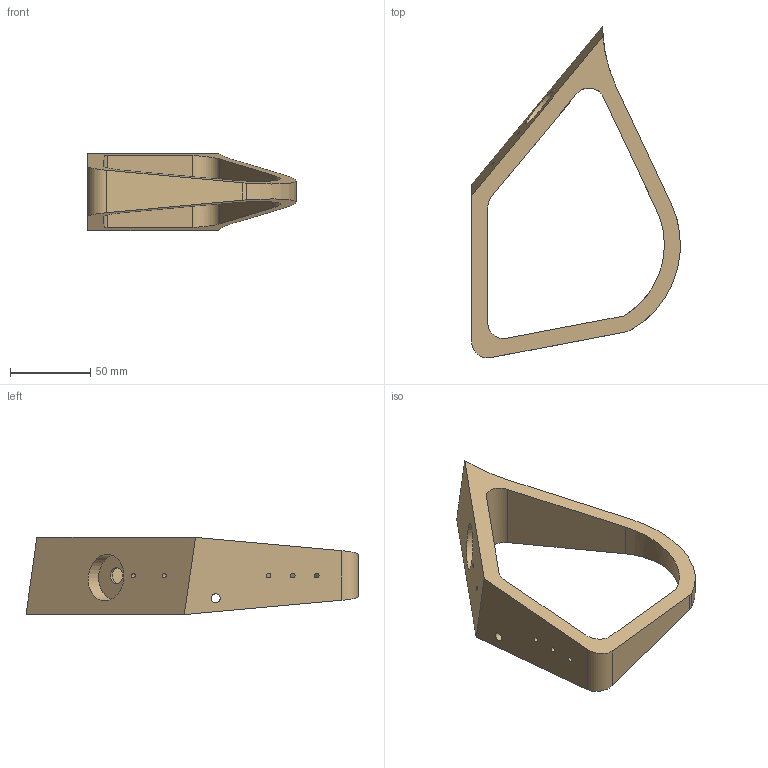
import cadquery as cq
import math

LENGTH_X = 130.05
LENGTH_Y = 206.93
HEIGHT = 48.05
WALL = 10.0

TIP_X = 81.5
MOUNT_START_Y = 108.3
ROUND_RADIUS = 61.0
ROUND_CENTER_Y = 70.4
SIDE_ANGLE = 25.2
BASE_ANGLE = 10.8
CORNER_RADIUS = 10.0
BASE_BLEND_RADIUS = 8.0

MOUNT_TILT = 5.35
TAPER_ANGLE = 8.1

POCKET_DIAMETER = 28.9
POCKET_DEPTH = 10.3
POCKET_X = 41.4
POCKET_Z = 23.0
BOLT_DIAMETER = 10.0
SCREW_DIAMETER = 3.0
HOLE_Z = 24.3
MOUNT_SCREW_DISTANCES = (22.0, 47.0)

LEFT_SCREW_YS = (25.75, 40.75, 55.75)
LOW_HOLE_DIAMETER = 5.5
LOW_HOLE_Y = 88.7
LOW_HOLE_Z = 10.1

THROUGH_DEPTH = 2 * WALL
OVERSHOOT = 5.0
SELECTION_REACH = 0.5

ROUND_CENTER = cq.Vector(LENGTH_X - ROUND_RADIUS, ROUND_CENTER_Y)
TIP = cq.Vector(TIP_X, LENGTH_Y)
MOUNT_START = cq.Vector(0, MOUNT_START_Y)
UP = cq.Vector(0, 0, 1)

ALONG_MOUNT = (TIP - MOUNT_START).normalized()
MOUNT_OUTWARD = UP.cross(ALONG_MOUNT)
MOUNT_SETBACK = HEIGHT * math.tan(math.radians(MOUNT_TILT))


def direction(angle):
    """Horizontal unit vector at an angle in degrees from +X."""
    return cq.Vector(math.cos(math.radians(angle)), math.sin(math.radians(angle)))


def crossing(point_a, along_a, point_b, along_b):
    """Point where two horizontal lines meet."""
    gap = point_b - point_a
    return point_a + along_a * (gap.cross(along_b).z / along_a.cross(along_b).z)


ALONG_SIDE = direction(90 + SIDE_ANGLE)
SIDE_OUTWARD = direction(SIDE_ANGLE)
ALONG_BASE = direction(BASE_ANGLE)
BASE_OUTWARD = direction(BASE_ANGLE - 90)


def base_line_point():
    """Point of the base wall's outer line that lets its rounded corner touch Y = 0."""
    corner_center = cq.Vector(CORNER_RADIUS, CORNER_RADIUS)
    return corner_center + BASE_OUTWARD * CORNER_RADIUS


def round_end_point(base_point, radius):
    """Point where the base line runs into the circle of the round end."""
    offset = base_point - ROUND_CENTER
    distance = offset.dot(BASE_OUTWARD)
    half_chord = math.sqrt(radius**2 - distance**2)
    return ROUND_CENTER + BASE_OUTWARD * distance + ALONG_BASE * half_chord


def profile_points(inset):
    """Corner points shared by the outline and, moved inward by inset, the window."""
    radius = ROUND_RADIUS - inset
    base_point = base_line_point() - BASE_OUTWARD * inset
    lower_left = crossing(base_point, ALONG_BASE, cq.Vector(inset, 0), cq.Vector(0, 1))
    base_end = round_end_point(base_point, radius)
    side_start = ROUND_CENTER + SIDE_OUTWARD * radius
    round_middle = ROUND_CENTER + cq.Vector(radius, 0)
    return lower_left, base_end, round_middle, side_start


def flared_arc():
    """Arc that leaves the side wall smoothly and is parallel to Y at the tip."""
    reach = (TIP - ROUND_CENTER).dot(SIDE_OUTWARD) - ROUND_RADIUS
    flare_radius = reach / (1 - SIDE_OUTWARD.x)
    center = TIP + cq.Vector(flare_radius, 0)
    start = center - SIDE_OUTWARD * flare_radius
    middle = center - direction(SIDE_ANGLE / 2) * flare_radius
    return start, middle


def at_corner(point):
    """Selector for the vertical edge that stands on a point."""
    margin = cq.Vector(SELECTION_REACH, SELECTION_REACH, SELECTION_REACH)
    low = (point - margin).toTuple()
    high = (point + UP * HEIGHT + margin).toTuple()
    return cq.selectors.BoxSelector(low, high)


def outer_block():
    lower_left, base_end, round_middle, side_start = profile_points(0)
    flare_start, flare_middle = flared_arc()
    block = (
        cq.Workplane("XY")
        .moveTo(lower_left.x, lower_left.y)
        .lineTo(base_end.x, base_end.y)
        .threePointArc(round_middle.toTuple()[:2], side_start.toTuple()[:2])
        .lineTo(flare_start.x, flare_start.y)
        .threePointArc(flare_middle.toTuple()[:2], TIP.toTuple()[:2])
        .lineTo(MOUNT_START.x, MOUNT_START.y)
        .close()
        .extrude(HEIGHT)
    )
    block = block.edges("|Z").edges(at_corner(lower_left)).fillet(CORNER_RADIUS)
    return block.edges("|Z").edges(at_corner(base_end)).fillet(BASE_BLEND_RADIUS)


def window():
    lower_left, base_end, round_middle, side_start = profile_points(WALL)
    mount_point = MOUNT_START - MOUNT_OUTWARD * (MOUNT_SETBACK + WALL)
    upper_left = crossing(mount_point, ALONG_MOUNT, lower_left, cq.Vector(0, 1))
    peak = crossing(mount_point, ALONG_MOUNT, side_start, ALONG_SIDE)
    opening = (
        cq.Workplane("XY")
        .moveTo(lower_left.x, lower_left.y)
        .lineTo(base_end.x, base_end.y)
        .threePointArc(round_middle.toTuple()[:2], side_start.toTuple()[:2])
        .lineTo(peak.x, peak.y)
        .lineTo(upper_left.x, upper_left.y)
        .close()
        .extrude(HEIGHT)
    )
    for corner in (lower_left, upper_left, peak):
        opening = opening.edges("|Z").edges(at_corner(corner)).fillet(CORNER_RADIUS)
    return opening


def wedge():
    """Body with the tilted mounting face and the sloping top and bottom faces.

    Its section is drawn square to the mounting face, where local X runs into the part
    and ends just past the round end.
    """
    depth = (MOUNT_START - ROUND_CENTER).dot(MOUNT_OUTWARD) + ROUND_RADIUS + OVERSHOOT
    slope = math.tan(math.radians(TAPER_ANGLE))
    plane = cq.Plane(MOUNT_START, MOUNT_OUTWARD * -1, ALONG_MOUNT * -1)
    end_low = depth * slope
    end_high = HEIGHT - (depth - MOUNT_SETBACK) * slope
    return (
        cq.Workplane(plane)
        .polyline([(0, 0), (depth, end_low), (depth, end_high), (MOUNT_SETBACK, HEIGHT)])
        .close()
        .extrude(LENGTH_X + LENGTH_Y, both=True)
    )


def drill(surface_point, along, diameter, depth=THROUGH_DEPTH):
    """Cylinder that reaches a depth below a surface point and starts a little above it."""
    start = surface_point - along * OVERSHOOT
    return cq.Workplane(cq.Solid.makeCylinder(diameter / 2, depth + OVERSHOOT, start, along))


def mount_face_point(x, z):
    """Point of the tilted mounting face at a height, square to the X on its lower edge."""
    foot = MOUNT_START + ALONG_MOUNT * (x / ALONG_MOUNT.x)
    return foot - MOUNT_OUTWARD * (z * math.tan(math.radians(MOUNT_TILT))) + UP * z


def mount_holes():
    inward = MOUNT_OUTWARD * -1
    center = mount_face_point(POCKET_X, POCKET_Z)
    holes = drill(center, inward, POCKET_DIAMETER, POCKET_DEPTH)
    bolt = mount_face_point(POCKET_X, HOLE_Z)
    holes = holes.union(drill(bolt, inward, BOLT_DIAMETER))
    for distance in MOUNT_SCREW_DISTANCES:
        screw = bolt - ALONG_MOUNT * distance
        holes = holes.union(drill(screw, inward, SCREW_DIAMETER))
    return holes


def left_wall_holes():
    inward = cq.Vector(1, 0, 0)
    holes = drill(cq.Vector(0, LOW_HOLE_Y, LOW_HOLE_Z), inward, LOW_HOLE_DIAMETER)
    for y in LEFT_SCREW_YS:
        holes = holes.union(drill(cq.Vector(0, y, HOLE_Z), inward, SCREW_DIAMETER))
    return holes


frame = outer_block().cut(window()).intersect(wedge())
result = frame.cut(mount_holes()).cut(left_wall_holes())